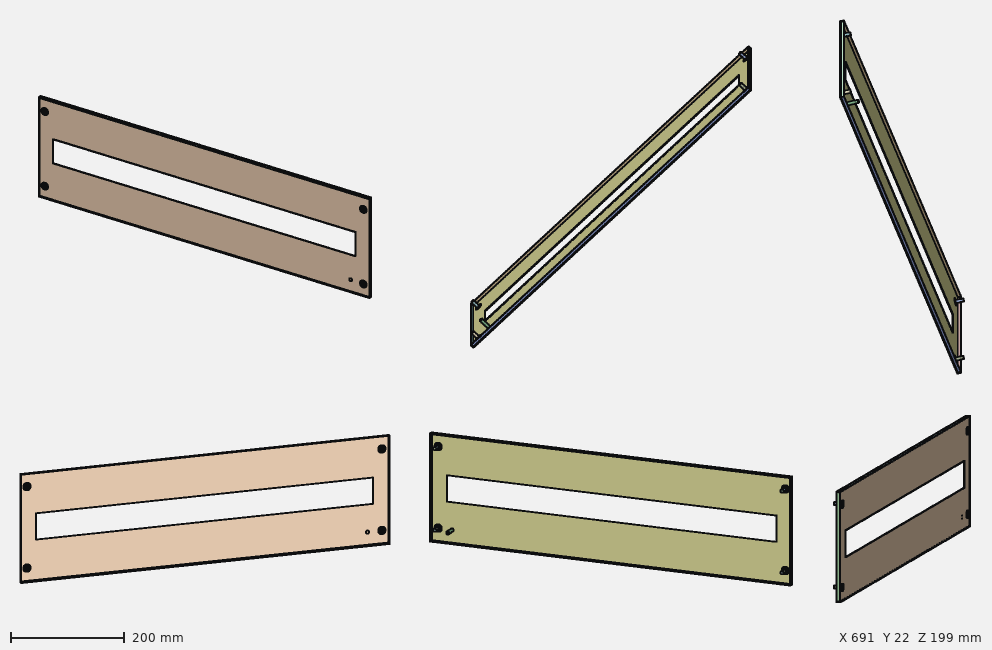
import cadquery as cq

WIDTH = 691
HEIGHT = 199.0
TOTAL_DEPTH = 22.0
SHEET = 1.5
FLANGE_HEIGHT = 5.7
PAN_DEPTH = SHEET + FLANGE_HEIGHT

WINDOW_WIDTH = 631.5
WINDOW_HEIGHT = 48.5

SCREW_SPACING_X = 665.5
SCREW_SPACING_Z = 150.0
HEAD_HOLE_DIAMETER = 14
HEAD_DIAMETER = 12.0
RING_GROOVE_DEPTH = 1.0
SHANK_DIAMETER = 6.0
SHANK_PROJECTION = 8.0
RECESS_LENGTH = 6.0
RECESS_WIDTH = 2.0
RECESS_DEPTH = 1.5

PIN_DIAMETER = 6.0
PIN_X = 305.5
PIN_Z = -SCREW_SPACING_Z / 2
PIN_CHAMFER = 1.0


def block(width, height, start, end):
    """Box centred on the Y axis, reaching from Y = start to Y = end."""
    return cq.Workplane("XY").box(width, end - start, height).translate((0, (start + end) / 2, 0))


def rod(diameter, start, end):
    """Cylinder along the Y axis, reaching from Y = start to Y = end."""
    return cq.Workplane("XZ", origin=(0, start, 0)).circle(diameter / 2).extrude(start - end)


def make_pan():
    outer = block(WIDTH, HEIGHT, 0, PAN_DEPTH)
    cavity = block(WIDTH - 2 * SHEET, HEIGHT - 2 * SHEET, SHEET, PAN_DEPTH)
    window = block(WINDOW_WIDTH, WINDOW_HEIGHT, 0, SHEET)
    return outer.cut(cavity).cut(window)


def make_shank():
    """Screw shank behind the sheet."""
    return rod(SHANK_DIAMETER, SHEET, PAN_DEPTH + SHANK_PROJECTION)


def make_head_cut():
    """Ring groove around the flush screw head and the cross recess in it."""
    ring = rod(HEAD_HOLE_DIAMETER, 0, RING_GROOVE_DEPTH).cut(rod(HEAD_DIAMETER, 0, RING_GROOVE_DEPTH))
    bar = block(RECESS_LENGTH, RECESS_WIDTH, 0, RECESS_DEPTH)
    return ring.union(bar).union(bar.rotate((0, 0, 0), (0, 1, 0), 90))


def make_pin():
    pin = rod(PIN_DIAMETER, SHEET, TOTAL_DEPTH).faces(">Y").chamfer(PIN_CHAMFER)
    return pin.translate((PIN_X, 0, PIN_Z))


result = make_pan().union(make_pin())
for side_x in (-1, 1):
    for side_z in (-1, 1):
        place = (side_x * SCREW_SPACING_X / 2, 0, side_z * SCREW_SPACING_Z / 2)
        result = result.union(make_shank().translate(place))
        result = result.cut(make_head_cut().translate(place))